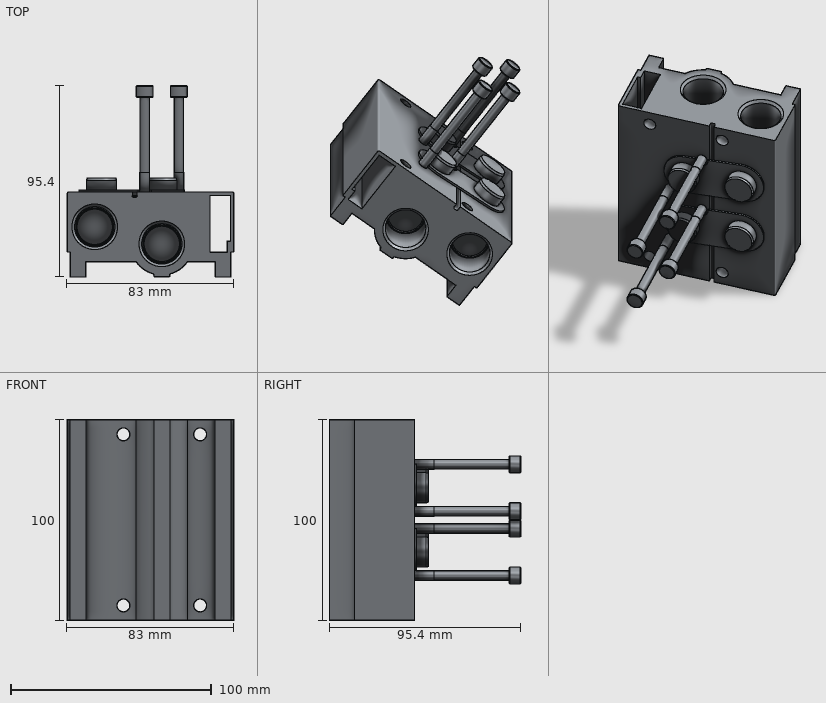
import cadquery as cq
import math

HEIGHT = 100.0
WIDTH = 83.0
BACK_Y = 42.5
SHOULDER_Y = 12.5
SHOULDER_INSET = 1.5
FLOOR_Y = 7.6
FOOT_WIDTH = 7.8
BACK_EDGE_RADIUS = 0.9
SHOULDER_RADIUS = 0.5
EDGE_RADIUS = 0.4

CENTRE_BORE_X = 47.1
CENTRE_BORE_Y = 16.6
SIDE_BORE_X = 13.7
SIDE_BORE_Y = 25.1
BORE_DIAMETER = 20.1
BORE_MOUTH_DIAMETER = 22.7
BULGE_RADIUS = 15.6
KEY_WIDTH = 8.0
KEY_Y = 0.2
KEY_FILLET = 0.6

PISTON_DEPTH = 20.0
PISTON_CHAMFER = 0.6
DISH_MOUTH_DIAMETER = 18.7
DISH_FLOOR_DIAMETER = 17.6

CHANNEL_LEFT_X = 71.2
CHANNEL_RIGHT_X = 81.2
CHANNEL_FRONT_Y = 12.5
CHANNEL_BACK_Y = 40.6
LEDGE_WIDTH = 1.6
LEDGE_Y = 18.0

GROOVE_X = 33.6
GROOVE_WIDTH = 2.4
GROOVE_DEPTH = 2.6
GROOVE_FILLET = 0.6

MOUNT_DIAMETER = 6.3
MOUNT_X = (28.0, 66.2)
MOUNT_END_DISTANCE = 7.4

STATION_PITCH = 32.0
STATIONS_Z = [HEIGHT / 2 + side * STATION_PITCH / 2 for side in (1, -1)]
SCREW_PITCH_X = 17.0
SCREW_PITCH_Z = 23.4

PLATE_THICKNESS = 1.0
PLATE_LOBE_RADIUS = 11.3
COLLAR_DIAMETER = 15.1
COLLAR_TOP_Y = 49.4
COLLAR_BEVEL_HEIGHT = 1.2
COLLAR_BEVEL_WIDTH = 0.4
SIDE_COLLAR_DX = -30.0
SIDE_COLLAR_DZ = 2.7
SCREW_CLEARANCE = 6.8

SCREW_TOP_Y = 95.4
HEAD_DIAMETER = 8.5
HEAD_HEIGHT = 5.8
HEAD_CHAMFER = 0.4
SHANK_DIAMETER = 4.8
THREAD_DIAMETER = 5.0
THREAD_TOP_Y = 52.1


def rod_along_y(x, z, diameter, start_y, end_y):
    """Cylinder whose axis runs along +Y from start_y to end_y."""
    return cq.Workplane(
        cq.Solid.makeCylinder(diameter / 2, end_y - start_y, cq.Vector(x, start_y, z), cq.Vector(0, 1, 0))
    )


def housing_blank():
    """Extruded profile with feet, bulge and key."""
    inner_left = SHOULDER_INSET + FOOT_WIDTH
    inner_right = WIDTH - inner_left
    bulge_half = math.sqrt(BULGE_RADIUS**2 - (CENTRE_BORE_Y - FLOOR_Y) ** 2)
    key_half = KEY_WIDTH / 2
    key_root_y = CENTRE_BORE_Y - math.sqrt(BULGE_RADIUS**2 - key_half**2)

    def bulge_midpoint(side):
        start = math.atan2(FLOOR_Y - CENTRE_BORE_Y, bulge_half)
        end = math.atan2(key_root_y - CENTRE_BORE_Y, key_half)
        middle = (start + end) / 2
        return (
            CENTRE_BORE_X + side * BULGE_RADIUS * math.cos(middle),
            CENTRE_BORE_Y + BULGE_RADIUS * math.sin(middle),
        )

    blank = (
        cq.Workplane("XY")
        .moveTo(0, BACK_Y)
        .lineTo(0, SHOULDER_Y)
        .lineTo(SHOULDER_INSET, SHOULDER_Y)
        .lineTo(SHOULDER_INSET, 0)
        .lineTo(inner_left, 0)
        .lineTo(inner_left, FLOOR_Y)
        .lineTo(CENTRE_BORE_X - bulge_half, FLOOR_Y)
        .threePointArc(bulge_midpoint(-1), (CENTRE_BORE_X - key_half, key_root_y))
        .lineTo(CENTRE_BORE_X - key_half, KEY_Y)
        .lineTo(CENTRE_BORE_X + key_half, KEY_Y)
        .lineTo(CENTRE_BORE_X + key_half, key_root_y)
        .threePointArc(bulge_midpoint(1), (CENTRE_BORE_X + bulge_half, FLOOR_Y))
        .lineTo(inner_right, FLOOR_Y)
        .lineTo(inner_right, 0)
        .lineTo(WIDTH - SHOULDER_INSET, 0)
        .lineTo(WIDTH - SHOULDER_INSET, SHOULDER_Y)
        .lineTo(WIDTH, SHOULDER_Y)
        .lineTo(WIDTH, BACK_Y)
        .close()
        .extrude(HEIGHT)
    )

    def vertical_edges(blank, points):
        edges = blank.edges(cq.selectors.NearestToPointSelector((*points[0], HEIGHT / 2)))
        for point in points[1:]:
            edges = edges.add(blank.edges(cq.selectors.NearestToPointSelector((*point, HEIGHT / 2))))
        return edges

    blank = vertical_edges(blank, [(0, BACK_Y), (WIDTH, BACK_Y)]).fillet(BACK_EDGE_RADIUS)
    blank = vertical_edges(blank, [(0, SHOULDER_Y), (WIDTH, SHOULDER_Y)]).fillet(SHOULDER_RADIUS)
    key_ends = [(CENTRE_BORE_X + side * key_half, KEY_Y) for side in (-1, 1)]
    foot_ends = [(inner_left, 0), (inner_right, 0)]
    blank = vertical_edges(blank, key_ends + foot_ends).fillet(EDGE_RADIUS)
    key_roots = [(CENTRE_BORE_X + side * key_half, key_root_y) for side in (-1, 1)]
    return vertical_edges(blank, key_roots).fillet(KEY_FILLET)


def bore_tool(x, y):
    """Through bore with a 45 degree countersink at each end."""
    radius = BORE_DIAMETER / 2
    mouth_radius = BORE_MOUTH_DIAMETER / 2
    mouth_depth = mouth_radius - radius
    return (
        cq.Workplane("XZ")
        .polyline([
            (0, 0),
            (mouth_radius, 0),
            (radius, mouth_depth),
            (radius, HEIGHT - mouth_depth),
            (mouth_radius, HEIGHT),
            (0, HEIGHT),
        ])
        .close()
        .revolve(360, (0, 0), (0, 1))
        .translate((x, y, 0))
    )


def channel_tool():
    """Rectangular channel, narrowed by a ledge at its front outer corner."""
    return (
        cq.Workplane("XY")
        .polyline([
            (CHANNEL_LEFT_X, CHANNEL_FRONT_Y),
            (CHANNEL_RIGHT_X - LEDGE_WIDTH, CHANNEL_FRONT_Y),
            (CHANNEL_RIGHT_X - LEDGE_WIDTH, LEDGE_Y),
            (CHANNEL_RIGHT_X, LEDGE_Y),
            (CHANNEL_RIGHT_X, CHANNEL_BACK_Y),
            (CHANNEL_LEFT_X, CHANNEL_BACK_Y),
        ])
        .close()
        .extrude(HEIGHT)
    )


def groove_tool():
    """Round-cornered groove along the whole back face."""
    return (
        cq.Workplane("XY")
        .box(GROOVE_WIDTH, GROOVE_DEPTH, HEIGHT, centered=(True, False, False))
        .edges("|Z and <Y")
        .fillet(GROOVE_FILLET)
        .translate((GROOVE_X, BACK_Y - GROOVE_DEPTH, 0))
    )


def make_housing():
    body = housing_blank()
    body = body.cut(bore_tool(SIDE_BORE_X, SIDE_BORE_Y))
    body = body.cut(bore_tool(CENTRE_BORE_X, CENTRE_BORE_Y))
    body = body.cut(channel_tool()).cut(groove_tool())
    for x in MOUNT_X:
        for z in (MOUNT_END_DISTANCE, HEIGHT - MOUNT_END_DISTANCE):
            body = body.cut(rod_along_y(x, z, MOUNT_DIAMETER, 0, BACK_Y))
    return body


def make_piston(x, y):
    """Cylinder filling a bore, with chamfered rims and a shallow dish in each end."""
    radius = BORE_DIAMETER / 2
    rim_radius = radius - PISTON_CHAMFER
    mouth_radius = DISH_MOUTH_DIAMETER / 2
    floor_radius = DISH_FLOOR_DIAMETER / 2
    dish_depth = mouth_radius - floor_radius
    low = PISTON_DEPTH
    high = HEIGHT - PISTON_DEPTH
    return (
        cq.Workplane("XZ")
        .polyline([
            (0, low + dish_depth),
            (floor_radius, low + dish_depth),
            (mouth_radius, low),
            (rim_radius, low),
            (radius, low + PISTON_CHAMFER),
            (radius, high - PISTON_CHAMFER),
            (rim_radius, high),
            (mouth_radius, high),
            (floor_radius, high - dish_depth),
            (0, high - dish_depth),
        ])
        .close()
        .revolve(360, (0, 0), (0, 1))
        .translate((x, y, 0))
    )


def screw_places(station_z):
    """The two screws of a station stand on a diagonal."""
    return [
        (CENTRE_BORE_X + side * SCREW_PITCH_X / 2, station_z - side * SCREW_PITCH_Z / 2)
        for side in (-1, 1)
    ]


def gasket_plate(lobes):
    """Two round lobes joined by a straight web of the same width."""
    plate_top = BACK_Y + PLATE_THICKNESS
    (x1, z1), (x2, z2) = lobes
    length = math.hypot(x2 - x1, z2 - z1)
    tilt = math.degrees(math.atan2(z2 - z1, x2 - x1))
    plate = (
        cq.Workplane("XY")
        .box(length, PLATE_THICKNESS, 2 * PLATE_LOBE_RADIUS, centered=(True, False, True))
        .rotate((0, 0, 0), (0, 1, 0), -tilt)
        .translate(((x1 + x2) / 2, BACK_Y, (z1 + z2) / 2))
    )
    for x, z in lobes:
        plate = plate.union(rod_along_y(x, z, 2 * PLATE_LOBE_RADIUS, BACK_Y, plate_top))
    return plate


def make_gasket(station_z):
    """Plate with two bevelled collars and a pin that locates in the housing groove."""
    lobes = [
        (CENTRE_BORE_X, station_z),
        (CENTRE_BORE_X + SIDE_COLLAR_DX, station_z + SIDE_COLLAR_DZ),
    ]
    gasket = gasket_plate(lobes)
    for x, z in screw_places(station_z):
        gasket = gasket.cut(rod_along_y(x, z, SCREW_CLEARANCE, BACK_Y, COLLAR_TOP_Y))
    for x, z in lobes:
        collar = rod_along_y(x, z, COLLAR_DIAMETER, BACK_Y, COLLAR_TOP_Y)
        collar = collar.faces(">Y").chamfer(COLLAR_BEVEL_HEIGHT, COLLAR_BEVEL_WIDTH)
        gasket = gasket.union(collar)
    pin_end_y = BACK_Y - GROOVE_DEPTH + GROOVE_FILLET
    pin = rod_along_y(GROOVE_X, station_z, GROOVE_WIDTH, pin_end_y, BACK_Y)
    return gasket.union(pin)


def make_screw(x, z):
    """Cap screw whose threaded end stands on the back face."""
    head_base_y = SCREW_TOP_Y - HEAD_HEIGHT
    head = rod_along_y(x, z, HEAD_DIAMETER, head_base_y, SCREW_TOP_Y).edges().chamfer(HEAD_CHAMFER)
    shank = rod_along_y(x, z, SHANK_DIAMETER, THREAD_TOP_Y, head_base_y)
    thread = rod_along_y(x, z, THREAD_DIAMETER, BACK_Y, THREAD_TOP_Y)
    return head.union(shank).union(thread)


housing = make_housing()
pistons = [
    make_piston(SIDE_BORE_X, SIDE_BORE_Y),
    make_piston(CENTRE_BORE_X, CENTRE_BORE_Y),
]
gaskets = [make_gasket(z) for z in STATIONS_Z]
screws = [make_screw(*place) for z in STATIONS_Z for place in screw_places(z)]

result = cq.Compound.makeCompound(
    [body.val() for body in [housing, *pistons, *gaskets, *screws]]
)